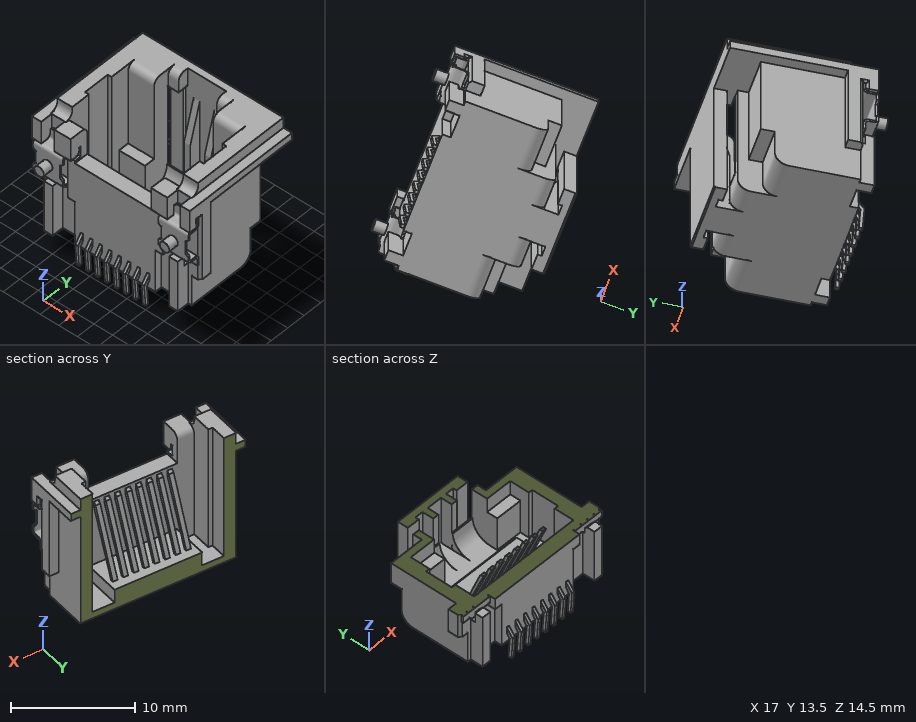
import cadquery as cq
import math


HEIGHT = 12.92
DEPTH = 12.43
BODY_HALF = 7.58
FLANGE_HALF = 8.5
FLANGE_BOTTOM = 11.03
FLANGE_TOP = 11.8
RIM_FRONT = 2.04
WALL_FRONT = 1.25
EDGE_RADIUS = 0.75

WALL = 0.71
BODY_BACK = 9.6
STEP_BACK = 8.43
STEP_HEIGHT = 3.52
STEP_RADIUS = 1.17
LATCH_BACK = 10.52
LATCH_RADIUS = 1.1
COLUMN_BACK = 2.57
COLUMN_BOTTOM = 3.26
COLUMN_CHAMFER = 0.25
COLUMN_STEP = 10.37

REAR_FRONT = 11.32
REAR_HALF = 3.62
REAR_EDGE_CHAMFER = 0.12

CAVITY_HALF = 5.97
CAVITY_BACK = 8.84
LEDGE_FRONT = 7.74
LEDGE_TOP = STEP_HEIGHT + WALL
BUMP_HALF = 6.38
BUMP_FRONT = 4.06
BUMP_BACK = 6.82

LATCH_HALF = 3.18
LATCH_FLOOR_RADIUS = 1.84
LATCH_LIP_FRONT = 10.4
LATCH_GAP_BACK = 10.54
MOUTH_HALF = 2.05
RECESS_HALF = 2.26
RECESS_BACK = 11.68
RAMP_INNER = 0.78
RAMP_OUTER = 1.45
RAMP_TOP = 10.03
RAMP_FRONT_TOP = 5.98
CHANNEL_RADIUS = 0.22

PLATE_FRONT = 0.53
PLATE_HALF = 4.34
PLATE_TOP = 8.8
SHOULDER_HALF = 5.12
SHOULDER_BOTTOM = 4.57
SHOULDER_TOP = 9.06

BLOCK_BOTTOM = 9.4
SLOT_FLARE = 0.27
NOTCH_INNER = 6.09
NOTCH_OUTER = 7.48
FOOT_RIB_WIDTH = 0.94
FOOT_RIB_TOP = 5.45

CLIP_X = 6.75
CLIP_Z = 7.58
CLIP_WIDTH = 3.23
CLIP_SHEET = 0.2
CLIP_FRONT = -0.05
CLIP_HAT_HALF = 1.67
CLIP_TAB_HALF = 2.57
CLIP_TONGUE_HALF = 2.82
CLIP_TONGUE_WIDTH = 1.1
CLIP_FRONT_BEND = 0.14
CLIP_TAB_BEND = 0.27
SIDE_NOTCH_DEPTH = 0.32
SIDE_NOTCH_HALF = 0.9
SIDE_NOTCH_CHAMFER = 0.24
POST_DIAMETER = 1.04
POST_DROP = 0.05
POST_END = -1.1

CONTACT_COUNT = 8
CONTACT_PITCH = 1.02
CONTACT_BLOCK_HALF = 4.27
CONTACT_BLOCK_TOP = 2.04
CONTACT_BLOCK_CHAMFER = 0.2
WIRE_WIDTH = 0.46
WIRE_THICKNESS = 0.27
WIRE_TOP = 8.5
WIRE_BEND_Y = 2.28
WIRE_BASE_Y = 4.78
PIN_WIDTH = 0.29
PIN_THICKNESS = 0.32
PIN_ROOT_TOP = 1.58
PIN_ROOT_BOTTOM = 0.99
PIN_LIP_Y = 0.39
PIN_LIP_Z = 1.38
PIN_FRONT = -0.12
PIN_BEND_TOP = 0.71
PIN_BEND_BOTTOM = 0.46
PIN_TIP_BACK = 0.34
PIN_BOTTOM = -1.55


def box(x0, x1, y0, y1, z0, z1):
    """Box between two corners."""
    return cq.Workplane("XY").box(x1 - x0, y1 - y0, z1 - z0, centered=False).translate((x0, y0, z0))


def wide_box(half_width, y0, y1, z0, z1):
    """Box centred on the symmetry plane."""
    return box(-half_width, half_width, y0, y1, z0, z1)


def sketch(y, z):
    """Start an outline in the YZ plane."""
    return cq.Workplane("YZ").moveTo(y, z)


def both_ways(outline, half_width):
    """Extrude a YZ outline symmetrically about X = 0."""
    return outline.close().extrude(half_width, both=True)


def both_sides(solid):
    """Add the mirror image on the other side of X = 0."""
    return solid.union(solid.mirror("YZ"))


def arc_middle(center_y, center_z, radius, degrees):
    """Point on a circle in the YZ plane."""
    angle = math.radians(degrees)
    return (center_y + radius * math.cos(angle), center_z + radius * math.sin(angle))


def housing_outside():
    """Outer form of the housing, still solid."""
    step_curve_y = STEP_BACK - STEP_RADIUS
    body = both_ways(
        sketch(WALL_FRONT, 0)
        .lineTo(step_curve_y, 0)
        .threePointArc(arc_middle(step_curve_y, STEP_RADIUS, STEP_RADIUS, -45), (STEP_BACK, STEP_RADIUS))
        .lineTo(STEP_BACK, STEP_HEIGHT)
        .lineTo(BODY_BACK, STEP_HEIGHT)
        .lineTo(BODY_BACK, FLANGE_TOP)
        .lineTo(WALL_FRONT, FLANGE_TOP),
        BODY_HALF,
    )
    latch_housing = (
        wide_box(LATCH_HALF + WALL, RIM_FRONT, LATCH_BACK, 0, FLANGE_TOP)
        .faces(">Y").edges("<Z").fillet(LATCH_RADIUS)
    )
    rear_plate = (
        wide_box(REAR_HALF, REAR_FRONT, DEPTH, 0, FLANGE_TOP)
        .faces(">Y").edges("<Z").chamfer(REAR_EDGE_CHAMFER)
    )
    flange = wide_box(FLANGE_HALF, WALL_FRONT, DEPTH, FLANGE_BOTTOM, FLANGE_TOP)
    rim_start = RIM_FRONT - EDGE_RADIUS
    rim_curve_top = FLANGE_TOP + EDGE_RADIUS
    rim = both_ways(
        sketch(DEPTH, FLANGE_TOP)
        .lineTo(rim_start, FLANGE_TOP)
        .threePointArc(arc_middle(rim_start, rim_curve_top, EDGE_RADIUS, -45), (RIM_FRONT, rim_curve_top))
        .lineTo(RIM_FRONT, HEIGHT)
        .lineTo(DEPTH, HEIGHT),
        BODY_HALF,
    )
    column = (
        box(BODY_HALF, FLANGE_HALF, WALL_FRONT, COLUMN_BACK, COLUMN_BOTTOM, COLUMN_STEP)
        .faces(">X").edges("<Y").chamfer(COLUMN_CHAMFER)
        .union(box(BODY_HALF, FLANGE_HALF, WALL_FRONT, COLUMN_BACK, COLUMN_STEP, FLANGE_TOP))
    )
    return body.union(latch_housing).union(rear_plate).union(flange).union(rim).union(both_sides(column))


def rounded_mouth(half_width, bottom, back):
    """Pocket whose rear upper edge rolls back into the top face."""
    curve_start = HEIGHT - EDGE_RADIUS
    curve_y = back + EDGE_RADIUS
    return both_ways(
        sketch(RIM_FRONT, bottom)
        .lineTo(back, bottom)
        .lineTo(back, curve_start)
        .threePointArc(arc_middle(curve_y, curve_start, EDGE_RADIUS, 135), (curve_y, HEIGHT))
        .lineTo(RIM_FRONT, HEIGHT),
        half_width,
    )


def cavity():
    """Plug cavity with its side grooves and its front opening."""
    lower = wide_box(CAVITY_HALF, RIM_FRONT, LEDGE_FRONT, WALL, HEIGHT)
    upper = rounded_mouth(CAVITY_HALF, LEDGE_TOP, CAVITY_BACK)
    bumps = wide_box(BUMP_HALF, BUMP_FRONT, BUMP_BACK, WALL, HEIGHT)
    opening = wide_box(PLATE_HALF, 0, RIM_FRONT, PLATE_TOP, HEIGHT)
    curve_start = RIM_FRONT - EDGE_RADIUS
    curve_end = FLANGE_TOP - EDGE_RADIUS
    wall_rounding = both_ways(
        sketch(curve_start, FLANGE_TOP)
        .threePointArc(arc_middle(curve_start, curve_end, EDGE_RADIUS, 45), (RIM_FRONT, curve_end))
        .lineTo(RIM_FRONT, HEIGHT)
        .lineTo(curve_start, HEIGHT),
        CAVITY_HALF,
    )
    return lower.union(upper).union(bumps).union(opening).union(wall_rounding)


def latch_recess():
    """Recess for the plug latch, with a curved floor and an open back."""
    lip_top = WALL + LATCH_FLOOR_RADIUS
    arc_y = LATCH_LIP_FRONT - LATCH_FLOOR_RADIUS
    lower = both_ways(
        sketch(RIM_FRONT, WALL)
        .lineTo(arc_y, WALL)
        .threePointArc(arc_middle(arc_y, lip_top, LATCH_FLOOR_RADIUS, -45), (LATCH_LIP_FRONT, lip_top))
        .lineTo(LATCH_GAP_BACK, lip_top)
        .lineTo(LATCH_GAP_BACK, FLANGE_BOTTOM)
        .lineTo(RIM_FRONT, FLANGE_BOTTOM),
        LATCH_HALF,
    )
    upper = rounded_mouth(LATCH_HALF, lip_top, LATCH_GAP_BACK)
    mouth = wide_box(MOUTH_HALF, RIM_FRONT, RECESS_BACK, FLANGE_BOTTOM, HEIGHT)
    recess = wide_box(RECESS_HALF, LATCH_GAP_BACK, RECESS_BACK, 0, FLANGE_BOTTOM)
    return lower.union(upper).union(mouth).union(recess)


def latch_ramps():
    """Sloped ribs joining the housing to the rear plate, with a floor between them."""
    return both_ways(
        sketch(STEP_BACK, 0)
        .lineTo(RECESS_BACK, 0)
        .lineTo(RECESS_BACK, RAMP_TOP)
        .lineTo(LATCH_BACK, RAMP_FRONT_TOP)
        .lineTo(LATCH_BACK, WALL)
        .lineTo(STEP_BACK, WALL),
        RAMP_OUTER,
    )


def latch_channel():
    """Flat-floored channel between the ramps, rounded where it meets the rear plate."""
    channel = wide_box(RAMP_INNER, RIM_FRONT, RECESS_BACK, WALL, FLANGE_BOTTOM)
    return channel.faces(">Y").edges("<Z").fillet(CHANNEL_RADIUS)


def front_plate():
    """Plate across the front, with a wider shoulder between the clips."""
    plate = wide_box(PLATE_HALF, PLATE_FRONT, RIM_FRONT, 0, PLATE_TOP)
    shoulder = box(PLATE_HALF, SHOULDER_HALF, PLATE_FRONT, WALL_FRONT, SHOULDER_BOTTOM, SHOULDER_TOP)
    return plate.union(both_sides(shoulder))


def slotted_holder(x0, x1, bottom, top, slot_end, slot_mouth):
    """Post in front of the wall with a clip slot behind it, flared at its outer end and its mouth.

    The slot runs from its closed end to its mouth, which is the top or bottom face of the post.
    """
    slot_front = WALL_FRONT - CLIP_SHEET
    slot_low = min(slot_end, slot_mouth)
    slot_high = max(slot_end, slot_mouth)
    holder = box(x0, x1, 0, WALL_FRONT, bottom, top)
    holder = holder.cut(box(x0, x1, slot_front, WALL_FRONT, slot_low, slot_high))
    flare_edges = cq.NearestToPointSelector(((x0 + x1) / 2, slot_front, slot_mouth))
    flare_edges += cq.NearestToPointSelector((x1, slot_front, (slot_low + slot_high) / 2))
    flare_edges += cq.NearestToPointSelector((x1, WALL_FRONT - CLIP_SHEET / 2, slot_end))
    return holder.edges(flare_edges).chamfer(SLOT_FLARE)


def clip_holders():
    """Hanging front blocks and foot ribs, slotted for the clip ends."""
    upper_slot_end = COLUMN_STEP - SLOT_FLARE
    holders = slotted_holder(
        CLIP_X - FOOT_RIB_WIDTH / 2,
        CLIP_X + FOOT_RIB_WIDTH / 2,
        0,
        FOOT_RIB_TOP,
        CLIP_Z - CLIP_TONGUE_HALF,
        FOOT_RIB_TOP,
    )
    for inner, outer in ((PLATE_HALF, NOTCH_INNER), (NOTCH_OUTER, FLANGE_HALF)):
        holders = holders.union(
            slotted_holder(inner, outer, BLOCK_BOTTOM, FLANGE_TOP, upper_slot_end, BLOCK_BOTTOM)
        )
    return both_sides(holders)


def clip():
    """Bent sheet clip with a locating post."""
    hat_inner = CLIP_HAT_HALF - CLIP_SHEET
    sheet_front = CLIP_FRONT + CLIP_SHEET
    tab_front = WALL_FRONT - CLIP_SHEET
    half_strip = (
        sketch(CLIP_FRONT, 0)
        .lineTo(CLIP_FRONT, CLIP_HAT_HALF)
        .lineTo(tab_front, CLIP_HAT_HALF)
        .lineTo(tab_front, CLIP_TONGUE_HALF)
        .lineTo(WALL_FRONT, CLIP_TONGUE_HALF)
        .lineTo(WALL_FRONT, hat_inner)
        .lineTo(sheet_front, hat_inner)
        .lineTo(sheet_front, 0)
        .close()
        .extrude(CLIP_WIDTH / 2, both=True)
    )
    for y, z, radius in (
        (CLIP_FRONT, CLIP_HAT_HALF, CLIP_FRONT_BEND + CLIP_SHEET),
        (sheet_front, hat_inner, CLIP_FRONT_BEND),
        (tab_front, CLIP_HAT_HALF, CLIP_TAB_BEND),
        (WALL_FRONT, hat_inner, CLIP_TAB_BEND + CLIP_SHEET),
    ):
        half_strip = half_strip.edges(cq.NearestToPointSelector((0, y, z))).fillet(radius)
    strip = half_strip.union(half_strip.mirror("XY"))

    half_width = CLIP_WIDTH / 2
    tongue_half = CLIP_TONGUE_WIDTH / 2
    tongue_step = CLIP_TONGUE_HALF - CLIP_TAB_HALF
    notch_x = half_width - SIDE_NOTCH_DEPTH
    notch_flat = SIDE_NOTCH_HALF - SIDE_NOTCH_CHAMFER
    quarter = [
        (half_width, SIDE_NOTCH_HALF),
        (half_width, CLIP_TAB_HALF),
        (tongue_half + tongue_step, CLIP_TAB_HALF),
        (tongue_half, CLIP_TONGUE_HALF),
    ]
    right_side = [(x, -z) for x, z in reversed(quarter)]
    right_side += [(notch_x, -notch_flat), (notch_x, notch_flat)]
    right_side += quarter
    left_side = [(-x, z) for x, z in reversed(right_side)]
    face = cq.Workplane("XZ").polyline(right_side + left_side).close().extrude(WALL_FRONT, both=True)
    post = (
        cq.Workplane("XZ", origin=(0, sheet_front, -POST_DROP))
        .circle(POST_DIAMETER / 2)
        .extrude(sheet_front - POST_END)
    )
    return strip.intersect(face).union(post).translate((CLIP_X, 0, CLIP_Z))


def contact_block():
    """Base that carries the contacts at the bottom of the cavity."""
    return (
        wide_box(CONTACT_BLOCK_HALF, RIM_FRONT, BUMP_BACK, 0, CONTACT_BLOCK_TOP)
        .faces(">Y").edges(">Z").chamfer(CONTACT_BLOCK_CHAMFER)
    )


def contact():
    """One contact: a sloped wire in the cavity and a bent solder pin in front."""
    wire = both_ways(
        sketch(RIM_FRONT, WIRE_TOP)
        .lineTo(WIRE_BEND_Y, WIRE_TOP - (WIRE_BEND_Y - RIM_FRONT))
        .lineTo(WIRE_BASE_Y, CONTACT_BLOCK_TOP)
        .lineTo(WIRE_BASE_Y - WIRE_THICKNESS, CONTACT_BLOCK_TOP)
        .lineTo(RIM_FRONT, WIRE_TOP - 2 * WIRE_THICKNESS),
        WIRE_WIDTH / 2,
    )
    pin = both_ways(
        sketch(PLATE_FRONT, PIN_ROOT_TOP)
        .lineTo(PIN_LIP_Y, PIN_LIP_Z)
        .lineTo(PIN_FRONT, PIN_BEND_TOP)
        .lineTo(PIN_FRONT, PIN_BEND_BOTTOM)
        .lineTo(PIN_TIP_BACK - PIN_THICKNESS, PIN_BOTTOM)
        .lineTo(PIN_TIP_BACK, PIN_BOTTOM)
        .lineTo(PIN_FRONT + PIN_THICKNESS, PIN_BEND_BOTTOM)
        .lineTo(PLATE_FRONT, PIN_ROOT_BOTTOM),
        PIN_WIDTH / 2,
    )
    return wire.union(pin)


housing = housing_outside().union(front_plate()).union(clip_holders())
housing = housing.cut(cavity()).cut(latch_recess())
housing = housing.union(latch_ramps()).cut(latch_channel()).union(contact_block())

result = housing.union(both_sides(clip()))
for index in range(CONTACT_COUNT):
    offset = (index - (CONTACT_COUNT - 1) / 2) * CONTACT_PITCH
    result = result.union(contact().translate((offset, 0, 0)))